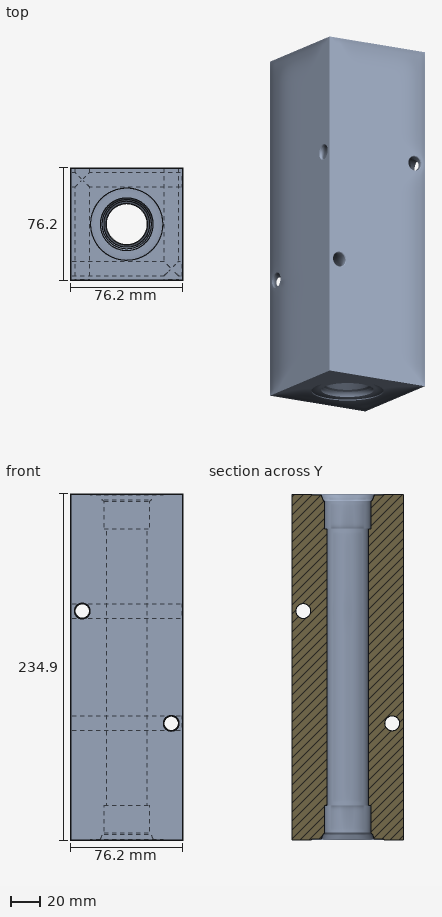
import cadquery as cq

width = 76.2
height = 234.95

spotface_diameter = 49.0
spotface_depth = 0.65
seat_diameter = 35.8
seat_bottom_diameter = 33.4
seat_depth = 3.3
thread_diameter = 31.2
thread_depth = 23.0
bore_diameter = 27.8

mount_diameter = 9.8
mount_mouth_diameter = 10.7
mount_edge_distance = 7.9375
mount_spacing = 76.2

mount_offset = width / 2 - mount_edge_distance


def make_port():
    """Revolved cutter for the top end: spotface, conical seal seat, shoulder and thread bore."""
    top = height / 2
    seat_top = top - spotface_depth
    seat_bottom = seat_top - seat_depth
    thread_top = seat_bottom - (seat_bottom_diameter - thread_diameter) / 2
    thread_bottom = seat_top - thread_depth
    profile = (
        cq.Workplane("XZ")
        .moveTo(0, top)
        .lineTo(spotface_diameter / 2, top)
        .lineTo(spotface_diameter / 2, seat_top)
        .lineTo(seat_diameter / 2, seat_top)
        .lineTo(seat_bottom_diameter / 2, seat_bottom)
        .lineTo(thread_diameter / 2, thread_top)
        .lineTo(thread_diameter / 2, thread_bottom)
        .lineTo(0, thread_bottom)
        .close()
    )
    return profile.revolve(360, (0, 0, 0), (0, 1, 0))


def make_mount_hole():
    """Through-hole cutter along Z, centred on the origin, with 45 degree chamfers at both mouths."""
    half = width / 2
    chamfer = (mount_mouth_diameter - mount_diameter) / 2
    profile = (
        cq.Workplane("XZ")
        .moveTo(0, half)
        .lineTo(mount_mouth_diameter / 2, half)
        .lineTo(mount_diameter / 2, half - chamfer)
        .lineTo(mount_diameter / 2, chamfer - half)
        .lineTo(mount_mouth_diameter / 2, -half)
        .lineTo(0, -half)
        .close()
    )
    return profile.revolve(360, (0, 0, 0), (0, 1, 0))


block = cq.Workplane("XY").box(width, width, height)
bore = cq.Workplane("XY").cylinder(height, bore_diameter / 2)
port = make_port()
result = block.cut(bore).cut(port).cut(port.mirror("XY"))

hole_along_y = make_mount_hole().rotate((0, 0, 0), (1, 0, 0), 90)
hole_along_x = make_mount_hole().rotate((0, 0, 0), (0, 1, 0), 90)
for side in (1, -1):
    level = side * mount_spacing / 2
    result = result.cut(hole_along_y.translate((-side * mount_offset, 0, level)))
    result = result.cut(hole_along_x.translate((0, side * mount_offset, level)))